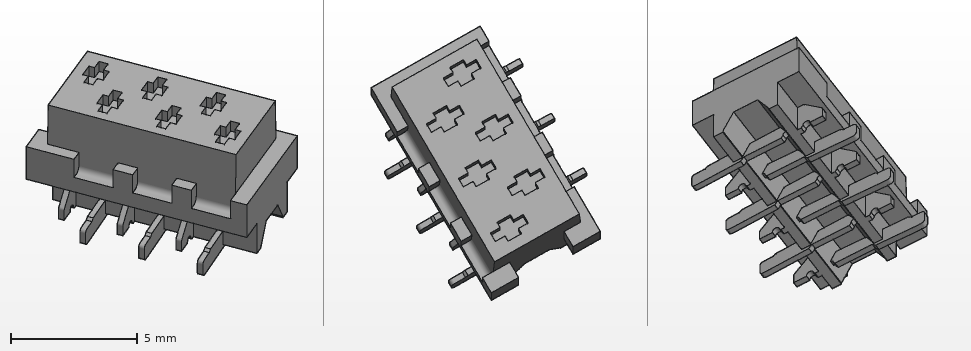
import cadquery as cq
import math


TOTAL_LENGTH = 9.55
TOTAL_WIDTH = 6.9
TOTAL_HEIGHT = 5.25
BODY_LENGTH = 8.14
BODY_TOP_HALF_WIDTH = 1.94
BODY_LOW_HALF_WIDTH = 2.02
BASE_HALF_WIDTH = 1.5
BASE_BOTTOM = 0.26
BODY_END = BODY_LENGTH / 2
HALF_LENGTH = TOTAL_LENGTH / 2

FLANGE_HALF_WIDTH = 2.49
FLANGE_BOTTOM = 1.74
FLANGE_TOP = 3.35
END_GAP_HALF_WIDTH = 1.24

PITCH = 1.27
CONTACTS_PER_ROW = 3
ROW_STEP = 2 * PITCH
FIRST_CONTACT_X = -(2 * CONTACTS_PER_ROW - 1) * PITCH / 2
ROW_SPACING = 1.5
ROW_OFFSET_Y = ROW_SPACING / 2

SLOT_LENGTH = 1.69
SLOT_FLOOR = 2.45
SLOT_ROOT_RADIUS = 0.25

SOCKET_DEPTH = 0.5
SOCKET_LONG = 1.5
SOCKET_NARROW = 0.39
SOCKET_SHORT = 0.88
SOCKET_WIDE = 0.61

CHANNEL_ROOF = 1.24
CHANNEL_ROOF_HALF_WIDTH = 0.56
CHANNEL_MOUTH_HALF_WIDTH = 1.07
CHANNEL_LIP_TOP = 0.32

BLADE_THICKNESS = 0.25
FOOT_TIP_Y = TOTAL_WIDTH / 2
FOOT_TOP = 0.745
FOOT_STEP_LOW = (2.83, 0.77)
FOOT_STEP_HIGH = (2.7, 0.87)
FOOT_SOLE_INNER_Y = 3.06
FOOT_HEEL = (1.165, 0.09)
FOOT_HEEL_TOP_Y = 1.01
CORNER_ROUND = 0.15
BLADE_TOP_INNER = (-1.24, 1.02)
WING_TOP_Y = -1.805
WING_TIP_Y = -2.67
WING_TIP_TOP = FLANGE_BOTTOM - (WING_TOP_Y - WING_TIP_Y)
WING_BOTTOM = 0.34
ARCH_CENTERS_Y = (-0.97, -1.91)
ARCH_RADIUS = 0.15
ARCH_CENTER_Z = 0.39
ARCH_FLARE = 0.09


def box(x0, x1, y0, y1, z0, z1):
    """Box between two opposite corners."""
    return cq.Workplane("XY").box(x1 - x0, y1 - y0, z1 - z0, centered=False).translate((x0, y0, z0))


def half_turn(shape):
    """The shape turned by 180 degrees about the Z axis."""
    return shape.rotate((0, 0, 0), (0, 0, 1), 180)


def body_half_width(z):
    """Half width of the drafted body at a given height."""
    taper = (BODY_LOW_HALF_WIDTH - BODY_TOP_HALF_WIDTH) / (TOTAL_HEIGHT - SLOT_FLOOR)
    return BODY_TOP_HALF_WIDTH + taper * (TOTAL_HEIGHT - z)


def make_body():
    """Upper block whose long sides lean inward toward the top."""
    bottom_half_width = body_half_width(FLANGE_BOTTOM)
    return (
        cq.Workplane("YZ", origin=(-BODY_END, 0, 0))
        .moveTo(-bottom_half_width, FLANGE_BOTTOM)
        .lineTo(bottom_half_width, FLANGE_BOTTOM)
        .lineTo(BODY_TOP_HALF_WIDTH, TOTAL_HEIGHT)
        .lineTo(-BODY_TOP_HALF_WIDTH, TOTAL_HEIGHT)
        .close()
        .extrude(BODY_LENGTH)
    )


def make_flange_slots():
    """Slots on the -Y side, open upward, with a rounded root against the body."""
    root_y = -body_half_width(SLOT_FLOOR + SLOT_ROOT_RADIUS)
    floor_y = root_y - SLOT_ROOT_RADIUS
    arc_middle_offset = SLOT_ROOT_RADIUS * math.sqrt(0.5)
    slots = cq.Workplane("XY")
    for i in range(CONTACTS_PER_ROW):
        slot_end = BODY_END - i * ROW_STEP
        slot = (
            cq.Workplane("YZ", origin=(slot_end - SLOT_LENGTH, 0, 0))
            .moveTo(-FLANGE_HALF_WIDTH, SLOT_FLOOR)
            .lineTo(floor_y, SLOT_FLOOR)
            .threePointArc(
                (floor_y + arc_middle_offset, SLOT_FLOOR + SLOT_ROOT_RADIUS - arc_middle_offset),
                (root_y, SLOT_FLOOR + SLOT_ROOT_RADIUS),
            )
            .lineTo(-BODY_TOP_HALF_WIDTH, FLANGE_TOP)
            .lineTo(-FLANGE_HALF_WIDTH, FLANGE_TOP)
            .close()
            .extrude(SLOT_LENGTH)
        )
        slots = slots.add(slot)
    return slots.combine()


def make_flange():
    """Flange with a gap in its -X end and staggered slots in its long sides."""
    flange = box(
        -HALF_LENGTH, HALF_LENGTH, -FLANGE_HALF_WIDTH, FLANGE_HALF_WIDTH, FLANGE_BOTTOM, FLANGE_TOP
    )
    end_gap = box(
        -HALF_LENGTH, -BODY_END, -END_GAP_HALF_WIDTH, END_GAP_HALF_WIDTH, FLANGE_BOTTOM, FLANGE_TOP
    )
    slots = make_flange_slots()
    return flange.cut(end_gap).cut(slots).cut(half_turn(slots))


def make_base():
    """Narrow base under the flange, with a flared channel along its full length."""
    base = box(-BODY_END, HALF_LENGTH, -BASE_HALF_WIDTH, BASE_HALF_WIDTH, BASE_BOTTOM, FLANGE_BOTTOM)
    channel = (
        cq.Workplane("YZ", origin=(-BODY_END, 0, 0))
        .moveTo(-CHANNEL_MOUTH_HALF_WIDTH, BASE_BOTTOM)
        .lineTo(CHANNEL_MOUTH_HALF_WIDTH, BASE_BOTTOM)
        .lineTo(CHANNEL_MOUTH_HALF_WIDTH, CHANNEL_LIP_TOP)
        .lineTo(CHANNEL_ROOF_HALF_WIDTH, CHANNEL_ROOF)
        .lineTo(-CHANNEL_ROOF_HALF_WIDTH, CHANNEL_ROOF)
        .lineTo(-CHANNEL_MOUTH_HALF_WIDTH, CHANNEL_LIP_TOP)
        .close()
        .extrude(BODY_END + HALF_LENGTH)
    )
    return base.cut(channel)


def make_socket_row():
    """Blind cross-shaped sockets of the row on the +Y side."""
    floor = TOTAL_HEIGHT - SOCKET_DEPTH
    centers = [(FIRST_CONTACT_X + i * ROW_STEP, ROW_OFFSET_Y) for i in range(CONTACTS_PER_ROW)]
    plane = cq.Workplane("XY", origin=(0, 0, floor)).pushPoints(centers)
    long_arms = plane.rect(SOCKET_NARROW, SOCKET_LONG).extrude(SOCKET_DEPTH)
    short_arms = plane.rect(SOCKET_SHORT, SOCKET_WIDE).extrude(SOCKET_DEPTH)
    return long_arms.union(short_arms)


def make_contact():
    """One flat contact blade, centred on X = 0."""
    inner_arch_y, outer_arch_y = ARCH_CENTERS_Y
    arch_top = ARCH_CENTER_Z + ARCH_RADIUS
    blade = (
        cq.Workplane("YZ", origin=(-BLADE_THICKNESS / 2, 0, 0))
        .moveTo(FOOT_TIP_Y, 0)
        .lineTo(FOOT_TIP_Y, FOOT_TOP)
        .lineTo(*FOOT_STEP_LOW)
        .lineTo(*FOOT_STEP_HIGH)
        .lineTo(*BLADE_TOP_INNER)
        .lineTo(BLADE_TOP_INNER[0], FLANGE_BOTTOM)
        .lineTo(WING_TOP_Y, FLANGE_BOTTOM)
        .lineTo(WING_TIP_Y, WING_TIP_TOP)
        .lineTo(WING_TIP_Y, WING_BOTTOM)
        .lineTo(outer_arch_y - ARCH_RADIUS, WING_BOTTOM)
        .lineTo(outer_arch_y - ARCH_RADIUS, ARCH_CENTER_Z)
        .threePointArc((outer_arch_y, arch_top), (outer_arch_y + ARCH_RADIUS, ARCH_CENTER_Z))
        .lineTo(outer_arch_y + ARCH_RADIUS + ARCH_FLARE, BASE_BOTTOM)
        .lineTo(inner_arch_y - ARCH_RADIUS, BASE_BOTTOM)
        .lineTo(inner_arch_y - ARCH_RADIUS, ARCH_CENTER_Z)
        .threePointArc((inner_arch_y, arch_top), (inner_arch_y + ARCH_RADIUS, ARCH_CENTER_Z))
        .lineTo(inner_arch_y + ARCH_RADIUS + ARCH_FLARE, BASE_BOTTOM)
        .lineTo(FOOT_HEEL_TOP_Y, BASE_BOTTOM)
        .lineTo(*FOOT_HEEL)
        .lineTo(FOOT_SOLE_INNER_Y, 0)
        .close()
        .extrude(BLADE_THICKNESS)
    )
    blade = blade.faces(">Y").edges("|X").fillet(CORNER_ROUND)
    return blade.faces("<Y").edges(">Z").fillet(CORNER_ROUND)


def make_contact_row():
    """The contacts whose feet point toward +Y."""
    contact = make_contact()
    row = cq.Workplane("XY")
    for i in range(CONTACTS_PER_ROW):
        row = row.add(contact.translate((FIRST_CONTACT_X + i * ROW_STEP, 0, 0)))
    return row.combine()


sockets = make_socket_row()
contacts = make_contact_row()
housing = make_flange().union(make_body()).union(make_base())
housing = housing.cut(sockets).cut(half_turn(sockets))
result = housing.union(contacts).union(half_turn(contacts))